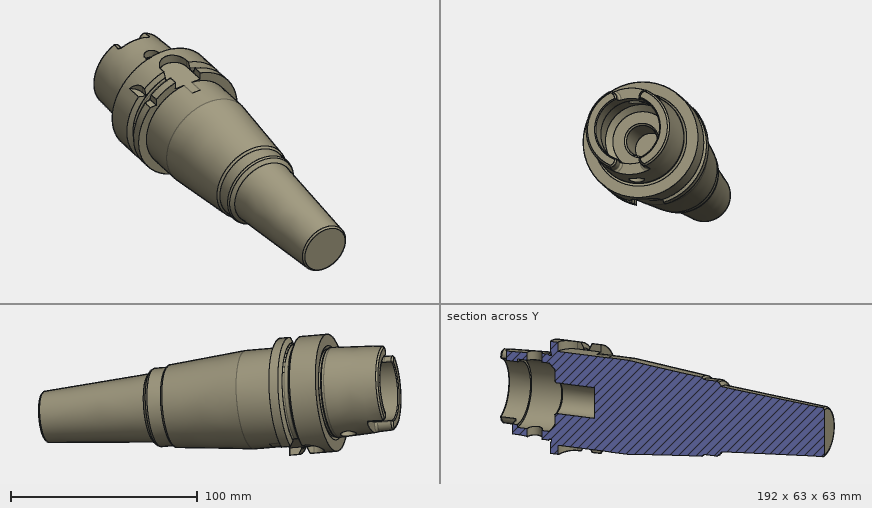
import cadquery as cq
import math

LENGTH = 192.0

SHANK_END_RADIUS = 22.8
SHANK_BASE_RADIUS = 24.2
SHANK_TAPER_END = 29.5
SHANK_END_CHAMFER = 1.0
RELIEF_START = 31.0
RELIEF_RADIUS = 23.6
RELIEF_OUTER_RADIUS = 25.3
RELIEF_DEPTH = 0.5

FLANGE_START = 32.0
FLANGE_END = 58.0
FLANGE_RADIUS = 31.5
GROOVE_CENTER = 49.7
GROOVE_FLOOR_WIDTH = 3.5
GROOVE_MOUTH_WIDTH = 6.5
GROOVE_SHOULDER_RADIUS = 28.6
GROOVE_FLOOR_RADIUS = 27.6
GROOVE_FLOOR_FILLET = 0.8

BODY_RADIUS = 26.5
BODY_CYLINDER_END = 77.8
BODY_CONE_END = 120.4
BODY_END_RADIUS = 22.3
COLLAR_START = 121.5
COLLAR_RADIUS = 21.1
COLLAR_END = 130.2
COLLAR_CHAMFER_LENGTH = 1.2
COLLAR_CHAMFER_DROP = 0.5
NOSE_START = 132.0
NOSE_BASE_RADIUS = 18.5
NOSE_TIP_RADIUS = 13.8
NOSE_CHAMFER = 1.0

BORE_RADIUS = 17.5
BORE_MOUTH_CHAMFER = 0.5
BORE_LIP_END = 12.9
UNDERCUT_RADIUS = 19.0
BORE_DEPTH = 34.5
BORE_FLOOR_RADIUS = 15.7
UNDERCUT_END = BORE_DEPTH - (UNDERCUT_RADIUS - BORE_FLOOR_RADIUS)
CORE_HOLE_RADIUS = 8.5
CORE_HOLE_CHAMFER = 1.0
CORE_HOLE_DEPTH = 57.6

DRIVE_SLOT_WIDTH = 12.3
DRIVE_SLOT_FLARE_RADIUS = 3.8
DRIVE_SLOT_FLARE_TOP = 20.7
DRIVE_SLOT_CORNER = 1.3
DRIVE_SLOT_CHAMFER = 1.0
UPPER_SLOT_DEPTH = 6.1
LOWER_SLOT_DEPTH = 9.8

CROSS_HOLE_X = 22.8
CROSS_HOLE_RADIUS = 4.2

KEY_SLOT_RADIUS = 7.9
KEY_SLOT_CENTER_X = 44.5
KEY_SLOT_END = 66.2
BODY_FLAT_WIDTH = 5.0
KEY_SLOT_FLOOR = math.sqrt(BODY_RADIUS**2 - (BODY_FLAT_WIDTH / 2) ** 2)
SIDE_NOTCH_WALL_Y = -20.2
SIDE_NOTCH_FLOOR = 20.4


def revolve_about_x(points):
    """Solid of revolution from (x, radius) points."""
    return cq.Workplane("XY").polyline(points).close().revolve(360, (0, 0, 0), (1, 0, 0))


def make_outer_body():
    return revolve_about_x([
        (0, 0),
        (0, SHANK_END_RADIUS - SHANK_END_CHAMFER),
        (SHANK_END_CHAMFER, SHANK_END_RADIUS),
        (SHANK_TAPER_END, SHANK_BASE_RADIUS),
        (RELIEF_START, SHANK_BASE_RADIUS),
        (RELIEF_START + RELIEF_DEPTH, RELIEF_RADIUS),
        (FLANGE_START + RELIEF_DEPTH, RELIEF_RADIUS),
        (FLANGE_START, RELIEF_OUTER_RADIUS),
        (FLANGE_START, FLANGE_RADIUS),
        (FLANGE_END, FLANGE_RADIUS),
        (FLANGE_END, BODY_RADIUS),
        (BODY_CYLINDER_END, BODY_RADIUS),
        (BODY_CONE_END, BODY_END_RADIUS),
        (COLLAR_START, COLLAR_RADIUS),
        (COLLAR_END - COLLAR_CHAMFER_LENGTH, COLLAR_RADIUS),
        (COLLAR_END, COLLAR_RADIUS - COLLAR_CHAMFER_DROP),
        (NOSE_START, NOSE_BASE_RADIUS),
        (LENGTH - NOSE_CHAMFER, NOSE_TIP_RADIUS),
        (LENGTH, NOSE_TIP_RADIUS - NOSE_CHAMFER),
        (LENGTH, 0),
    ])


def make_v_groove():
    floor_half = GROOVE_FLOOR_WIDTH / 2
    mouth_half = GROOVE_MOUTH_WIDTH / 2
    groove = revolve_about_x([
        (GROOVE_CENTER - mouth_half, FLANGE_RADIUS),
        (GROOVE_CENTER - floor_half, GROOVE_SHOULDER_RADIUS),
        (GROOVE_CENTER - floor_half, GROOVE_FLOOR_RADIUS),
        (GROOVE_CENTER + floor_half, GROOVE_FLOOR_RADIUS),
        (GROOVE_CENTER + floor_half, GROOVE_SHOULDER_RADIUS),
        (GROOVE_CENTER + mouth_half, FLANGE_RADIUS),
    ])
    floor_corners = cq.selectors.RadiusNthSelector(0)
    return groove.edges(floor_corners).fillet(GROOVE_FLOOR_FILLET)


def make_bore():
    return revolve_about_x([
        (0, 0),
        (0, BORE_RADIUS + BORE_MOUTH_CHAMFER),
        (BORE_MOUTH_CHAMFER, BORE_RADIUS),
        (BORE_LIP_END, BORE_RADIUS),
        (BORE_LIP_END, UNDERCUT_RADIUS),
        (UNDERCUT_END, UNDERCUT_RADIUS),
        (BORE_DEPTH, BORE_FLOOR_RADIUS),
        (BORE_DEPTH, CORE_HOLE_RADIUS + CORE_HOLE_CHAMFER),
        (BORE_DEPTH + CORE_HOLE_CHAMFER, CORE_HOLE_RADIUS),
        (CORE_HOLE_DEPTH, CORE_HOLE_RADIUS),
        (CORE_HOLE_DEPTH, 0),
    ])


def drive_slot_outline(x, widening=0.0):
    """Cross-section of a drive slot at x, flaring outward in an arc on each side."""
    half = DRIVE_SLOT_WIDTH / 2 + widening
    flare_start = DRIVE_SLOT_FLARE_TOP - DRIVE_SLOT_FLARE_RADIUS
    flare_half = DRIVE_SLOT_WIDTH / 2 + DRIVE_SLOT_FLARE_RADIUS
    arc_radius = DRIVE_SLOT_FLARE_RADIUS - widening
    flare_top = flare_start + arc_radius
    return (
        cq.Workplane("YZ", origin=(x, 0, 0))
        .moveTo(-half, 0)
        .lineTo(half, 0)
        .lineTo(half, flare_start)
        .radiusArc((flare_half, flare_top), arc_radius)
        .lineTo(SHANK_END_RADIUS, flare_top)
        .lineTo(SHANK_END_RADIUS, FLANGE_RADIUS)
        .lineTo(-SHANK_END_RADIUS, FLANGE_RADIUS)
        .lineTo(-SHANK_END_RADIUS, flare_top)
        .lineTo(-flare_half, flare_top)
        .radiusArc((-half, flare_start), arc_radius)
        .close()
    )


def make_drive_slot(depth):
    """Slot through the upper shank wall, open at x = 0 with a chamfered mouth."""
    slot = drive_slot_outline(0).extrude(depth)
    slot = slot.faces(">X").edges("not(<Z or >Z or <Y or >Y)").fillet(DRIVE_SLOT_CORNER)
    mouth_start = drive_slot_outline(0, DRIVE_SLOT_CHAMFER).val()
    mouth_end = drive_slot_outline(DRIVE_SLOT_CHAMFER).val()
    mouth = cq.Workplane(cq.Solid.makeLoft([mouth_start, mouth_end], True))
    return slot.union(mouth)


def make_round_ended_slot(center_y, floor_z):
    """Slot running along +X from a half-round end, open upward from floor_z."""
    height = FLANGE_RADIUS
    run = KEY_SLOT_END - KEY_SLOT_CENTER_X
    round_end = cq.Workplane("XY").circle(KEY_SLOT_RADIUS).extrude(height)
    straight = cq.Workplane("XY").box(run, 2 * KEY_SLOT_RADIUS, height, centered=(False, True, False))
    return round_end.union(straight).translate((KEY_SLOT_CENTER_X, center_y, floor_z))


result = make_outer_body().cut(make_v_groove()).cut(make_bore())

result = result.cut(make_drive_slot(UPPER_SLOT_DEPTH))
result = result.cut(make_drive_slot(LOWER_SLOT_DEPTH).mirror("XY"))

cross_hole = (
    cq.Workplane("XY")
    .center(CROSS_HOLE_X, 0)
    .circle(CROSS_HOLE_RADIUS)
    .extrude(FLANGE_RADIUS, both=True)
)
result = result.cut(cross_hole)

key_slot = make_round_ended_slot(0, KEY_SLOT_FLOOR)
result = result.cut(key_slot).cut(key_slot.mirror("XY"))
result = result.cut(make_round_ended_slot(SIDE_NOTCH_WALL_Y - KEY_SLOT_RADIUS, SIDE_NOTCH_FLOOR))